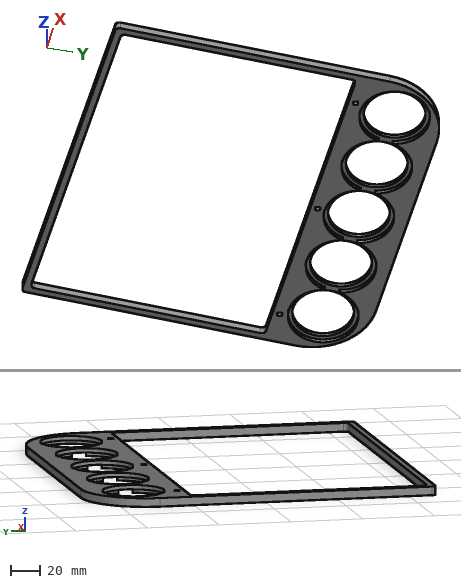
import cadquery as cq

width = 250.0
depth = 237.5
thickness = 6.0
rear_corner_radius = 45.0
front_corner_radius = 3.0

rim = 5.0
rear_band = 67.5
window_corner_radius = 3.0

opening_count = 5
opening_diameter = 42.0
opening_pitch = 47.0
opening_setback = 33.5

recess_diameter = 48.0
recess_depth = thickness / 2

pin_hole_diameter = 3.5
pin_hole_count = 3
pin_hole_pitch = 100.0
pin_hole_setback = 62.5

rear_edge = depth / 2


def make_plate():
    """Flat plate with large rear corners and slightly rounded front corners."""
    plate = cq.Workplane("XY").box(width, depth, thickness, centered=(True, True, False))
    plate = plate.edges("|Z and >Y").fillet(rear_corner_radius)
    return plate.edges("|Z and <Y").fillet(front_corner_radius)


def make_window():
    """Cutting block for the window with rounded corners."""
    window_depth = depth - rim - rear_band
    center_y = rear_edge - rear_band - window_depth / 2
    return (
        cq.Workplane("XY")
        .center(0, center_y)
        .rect(width - 2 * rim, window_depth)
        .extrude(thickness)
        .edges("|Z")
        .fillet(window_corner_radius)
    )


def make_hole_row(count, pitch, diameter, setback, height=thickness):
    """Cutting cylinders rising from the underside in a row, set back from the rear edge."""
    first_x = -pitch * (count - 1) / 2
    row = cq.Workplane("XY")
    for i in range(count):
        center = (first_x + i * pitch, rear_edge - setback)
        row = row.union(cq.Workplane("XY").center(*center).circle(diameter / 2).extrude(height))
    return row


openings = make_hole_row(opening_count, opening_pitch, opening_diameter, opening_setback)
recesses = make_hole_row(opening_count, opening_pitch, recess_diameter, opening_setback, recess_depth)
pin_holes = make_hole_row(pin_hole_count, pin_hole_pitch, pin_hole_diameter, pin_hole_setback)

result = make_plate().cut(make_window()).cut(openings).cut(recesses).cut(pin_holes)